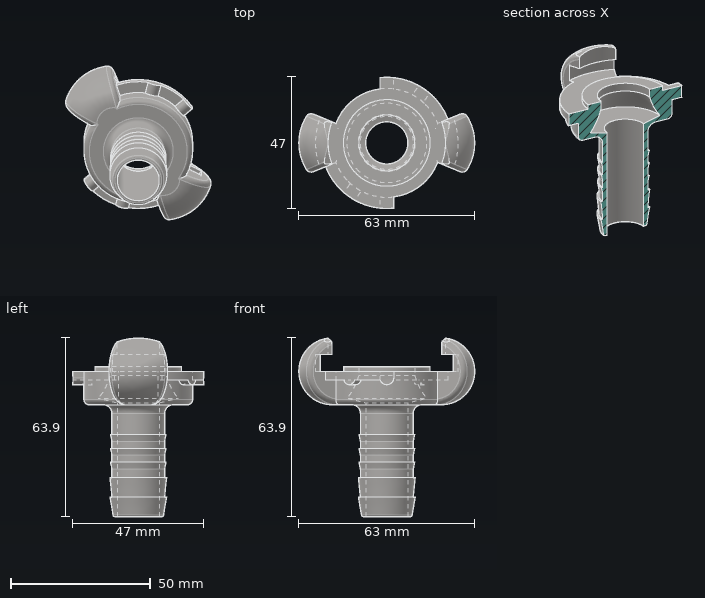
import cadquery as cq
import math

flange_bottom = 40.0
flange_height = 12.0
flange_top = flange_bottom + flange_height
rim_height = 1.7
rim_top = flange_top + rim_height

flange_diameter = 39.0
flange_edge_radius = 2.0
rim_diameter = 31.0
tail_diameter = 19.0
tail_fillet_radius = 3.0
tail_end_diameter = 18.0
tail_end_radius = 0.8

small_barb_diameter = 20.0
small_barb_length = 2.5
small_barb_tops = (29.5, 24.5, 19.5)
large_barb_diameter = 20.4
large_barb_length = 7.0
large_barb_top = 2 * large_barb_length

bore_diameter = 15.0
seat_diameter = 20.0
seat_depth = 3.1
flare_diameter = 28.5
flare_depth = 8.25
flare_radius = 22.0
cone_angle = 14.0

lug_diameter = 47.0
lug_thickness = 3.1
bump_radius = 2.5
bump_drop = 4.8
bump_spacing_angle = 35.0

claw_reach = 31.5
claw_section_radius = flange_height
claw_plan_radius = 18.0
claw_axis_x = claw_reach - claw_plan_radius
claw_edge_radius = flange_edge_radius
claw_side_angle = 22.5
claw_root_x = 12.0
claw_side_apex_x = 1.28
claw_opening_radius = 21.0
claw_slot_radius = 25.5
claw_slot_height = 6.0
claw_crown_radius = 22.0
claw_crown_top = flange_top + math.sqrt(
    claw_section_radius**2
    - (claw_opening_radius - claw_reach + claw_section_radius) ** 2
)

fuse_tolerance = 0.001


def cylinder(diameter, bottom, top):
    return cq.Workplane("XY").workplane(offset=bottom).circle(diameter / 2).extrude(top - bottom)


def half_turn(body):
    """Return the body rotated by 180 degrees about the part axis."""
    return body.rotate((0, 0, 0), (0, 0, 1), 180)


def make_tail():
    """Barbed hose tail, blended into the underside of the flange."""
    tail_radius = tail_diameter / 2
    small_radius = small_barb_diameter / 2
    large_radius = large_barb_diameter / 2
    fillet_bottom = flange_bottom - tail_fillet_radius

    outline = (
        cq.Workplane("XZ")
        .moveTo(0, flange_top)
        .lineTo(tail_radius + tail_fillet_radius, flange_top)
        .lineTo(tail_radius + tail_fillet_radius, flange_bottom)
        .radiusArc((tail_radius, fillet_bottom), -tail_fillet_radius)
    )
    for top in small_barb_tops:
        outline = (
            outline.lineTo(tail_radius, top)
            .lineTo(small_radius, top)
            .lineTo(tail_radius, top - small_barb_length)
        )
    outline = (
        outline.lineTo(tail_radius, large_barb_top)
        .lineTo(large_radius, large_barb_top)
        .lineTo(tail_radius, large_barb_top - large_barb_length)
        .lineTo(large_radius, large_barb_length)
        .lineTo(tail_end_diameter / 2, 0)
        .lineTo(0, 0)
        .close()
    )
    return outline.revolve(360, (0, 0, 0), (0, 1, 0)).faces("<Z").edges().fillet(tail_end_radius)


def make_flange():
    """Round flange with a rounded lower edge and a raised sealing rim."""
    flange = cylinder(flange_diameter, flange_bottom, flange_top)
    flange = flange.faces("<Z").edges().fillet(flange_edge_radius)
    return flange.union(cylinder(rim_diameter, flange_top, rim_top))


def make_bump(angle):
    """Radial bar with a half-round underside, turned clockwise from -Y by the angle."""
    bump_center_z = flange_top - bump_drop + bump_radius
    bump = (
        cq.Workplane("XZ")
        .center(0, bump_center_z)
        .moveTo(bump_radius, 0)
        .lineTo(bump_radius, flange_top - bump_center_z)
        .lineTo(-bump_radius, flange_top - bump_center_z)
        .lineTo(-bump_radius, 0)
        .threePointArc((0, -bump_radius), (bump_radius, 0))
        .close()
        .extrude(lug_diameter)
        .intersect(cylinder(lug_diameter, flange_bottom, flange_top))
    )
    return bump.rotate((0, 0, 0), (0, 0, 1), -angle)


def make_lug():
    """Rim segment from -Y round to the claw at -X; its two bumps stand out below."""
    lug_bottom = flange_top - lug_thickness
    quadrant = (
        cq.Workplane("XY")
        .workplane(offset=lug_bottom)
        .rect(-lug_diameter, -lug_diameter, centered=False)
        .extrude(lug_thickness)
    )
    lug = cylinder(lug_diameter, lug_bottom, flange_top).intersect(quadrant)
    for angle in (0, bump_spacing_angle):
        lug = lug.union(make_bump(angle))
    return lug


def make_claw():
    """Claw on the +X side: rounded disc sector with an undercut hook."""
    flat_radius = claw_plan_radius - claw_section_radius
    disc_top = flange_top + claw_section_radius
    disc = (
        cq.Workplane("XZ")
        .moveTo(0, flange_bottom)
        .lineTo(flat_radius, flange_bottom)
        .threePointArc((claw_plan_radius, flange_top), (flat_radius, disc_top))
        .lineTo(0, disc_top)
        .close()
        .revolve(360, (0, 0, 0), (0, 1, 0))
        .translate((claw_axis_x, 0, 0))
    )
    side_slope = math.tan(math.radians(claw_side_angle))
    root_half_width = (claw_root_x - claw_side_apex_x) * side_slope
    outer_half_width = (claw_reach - claw_side_apex_x) * side_slope
    sector = (
        cq.Workplane("XY")
        .workplane(offset=flange_bottom)
        .moveTo(claw_root_x, -root_half_width)
        .lineTo(claw_reach, -outer_half_width)
        .lineTo(claw_reach, outer_half_width)
        .lineTo(claw_root_x, root_half_width)
        .close()
        .extrude(disc_top - flange_bottom)
    )
    claw = disc.intersect(sector)
    claw = claw.faces("<Y or >Y").edges("not |Z").fillet(claw_edge_radius)
    crown = (
        cq.Workplane("YZ")
        .center(0, claw_crown_top - claw_crown_radius)
        .circle(claw_crown_radius)
        .extrude(claw_reach)
    )
    opening = cylinder(2 * claw_opening_radius, flange_top, disc_top)
    slot = cylinder(2 * claw_slot_radius, flange_top, flange_top + claw_slot_height)
    return claw.intersect(crown).cut(opening).cut(slot)


def make_bore():
    """Through bore widened by a cone and a flared seat up to the rim."""
    seat_radius = seat_diameter / 2
    bore_radius = bore_diameter / 2
    seat_bottom = rim_top - seat_depth
    flare_bottom = seat_bottom - flare_depth
    flare_bottom_radius = flare_diameter / 2
    cone_height = (flare_bottom_radius - bore_radius) * math.tan(math.radians(cone_angle))
    return (
        cq.Workplane("XZ")
        .moveTo(0, rim_top)
        .lineTo(seat_radius, rim_top)
        .lineTo(seat_radius, seat_bottom)
        .radiusArc((flare_bottom_radius, flare_bottom), -flare_radius)
        .lineTo(bore_radius, flare_bottom - cone_height)
        .lineTo(bore_radius, 0)
        .lineTo(0, 0)
        .close()
        .revolve(360, (0, 0, 0), (0, 1, 0))
    )


lug = make_lug()
claw = make_claw()
body = make_tail().union(make_flange())
for side_part in (claw, lug):
    body = body.union(side_part, tol=fuse_tolerance)
    body = body.union(half_turn(side_part), tol=fuse_tolerance)
result = body.cut(make_bore())